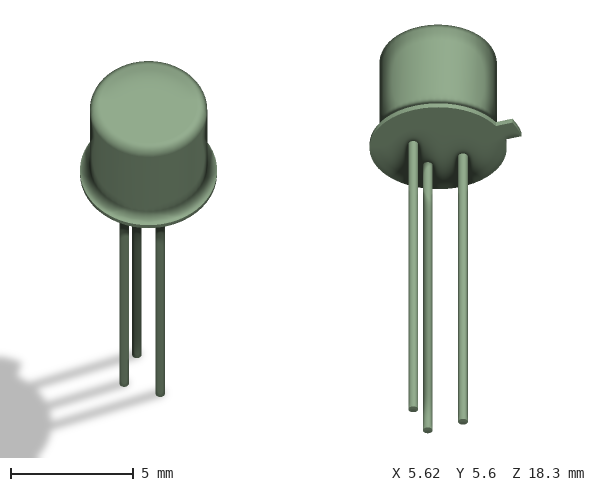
import cadquery as cq
import math

body_height = 4.7
can_diameter = 4.8
plate_diameter = 5.6
plate_thickness = 0.1

tab_width = 1.0
tab_tip_radius = 3.5
tab_angle = 135.5
tab_lean = 2.5

window_diameter = 3.5
window_thickness = 0.1

lead_diameter = 0.4
lead_length = 13.5
lead_gap = 0.1
lead_offset = 1.1
lead_positions = [(-lead_offset, 0), (0, -lead_offset), (lead_offset, 0)]

can_bottom = 2 * plate_thickness
can_top = body_height
can_radius = can_diameter / 2
plate_radius = plate_diameter / 2
foot_fillet = plate_radius - can_radius
top_fillet = 0.4


def make_plate(bottom):
    """Round plate with an index tab that starts inside the disc and ends at the tip arc."""
    disc = cq.Workplane("XY").circle(plate_radius).extrude(plate_thickness)
    tip_limit = cq.Workplane("XY").circle(tab_tip_radius).extrude(plate_thickness)
    tab = (
        cq.Workplane("XY")
        .rect(2 * tab_tip_radius, tab_width)
        .extrude(plate_thickness)
        .rotate((0, 0, 0), (0, 0, 1), tab_lean)
        .translate((tab_tip_radius, 0, 0))
        .rotate((0, 0, 0), (0, 0, 1), tab_angle)
        .intersect(tip_limit)
    )
    return disc.union(tab).translate((0, 0, bottom))


def make_window():
    """Thin disc whose upper face is level with the top of the can."""
    return (
        cq.Workplane("XY", origin=(0, 0, can_top - window_thickness))
        .circle(window_diameter / 2)
        .extrude(window_thickness)
    )


def make_can(window):
    """Revolved can with a flared foot, a rounded top edge and a recess for the window."""
    mid_arc = 1 - math.sqrt(0.5)
    foot_mid = foot_fillet * mid_arc
    top_mid = top_fillet * mid_arc
    profile = (
        cq.Workplane("XZ")
        .moveTo(0, can_bottom)
        .lineTo(plate_radius, can_bottom)
        .threePointArc(
            (can_radius + foot_mid, can_bottom + foot_mid),
            (can_radius, can_bottom + foot_fillet),
        )
        .lineTo(can_radius, can_top - top_fillet)
        .threePointArc(
            (can_radius - top_mid, can_top - top_mid),
            (can_radius - top_fillet, can_top),
        )
        .lineTo(0, can_top)
        .close()
    )
    return profile.revolve(360, (0, 0, 0), (0, 1, 0)).cut(window)


def make_lead(x, y):
    """Straight round lead hanging below the lower plate."""
    return (
        cq.Workplane("XY", origin=(x, y, -lead_gap - lead_length))
        .circle(lead_diameter / 2)
        .extrude(lead_length)
    )


lower_plate = make_plate(0)
upper_plate = make_plate(plate_thickness)
window = make_window()
can = make_can(window)
leads = [make_lead(x, y) for x, y in lead_positions]

result = cq.Compound.makeCompound(
    [
        lower_plate.val(),
        upper_plate.val(),
        can.val(),
        window.val(),
        *[lead.val() for lead in leads],
    ]
)